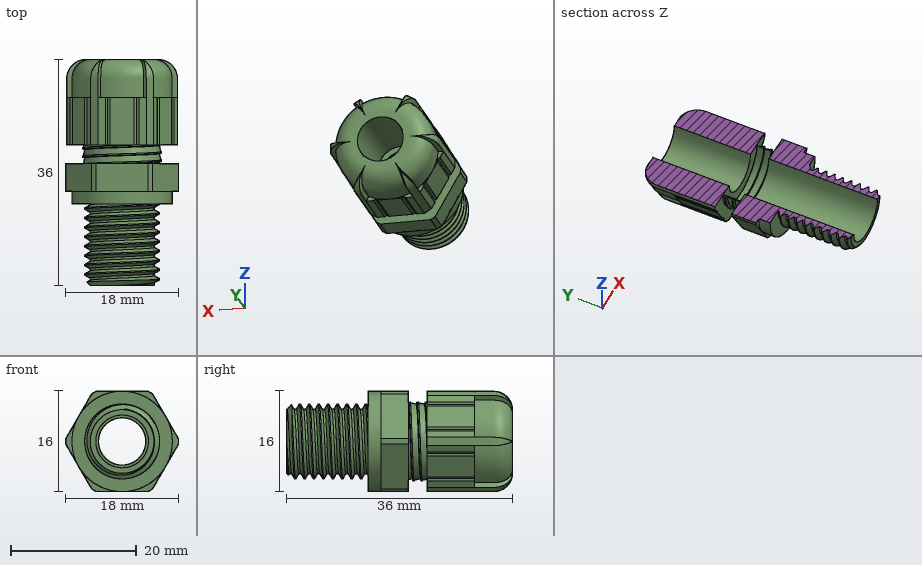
import cadquery as cq
import math


overall_length = 36.01
flange_start = 13.0
hex_start = 15.0
hex_end = 19.4
cap_start = 22.4
rib_start = 29.9

stem_major_radius = 5.97
stem_root_radius = 5.15
stem_pitch = 1.5
stem_base_width = 1.13
stem_crest_width = 0.19
stem_crest_offset = 1.0
stem_chamfer = 0.9

across_flats = 16.0
flange_radius = across_flats / 2
hex_corner_radius = 9.0

neck_root_radius = 5.97
neck_slope_radius = 6.19
neck_lip_radius = 6.3
neck_lip_width = 0.22
neck_pitch = 1.3
neck_lip_offset = 21.2
neck_root_gap = 0.1

cap_corner_distance = 8.85
cap_round = 3.0
rib_round = 3.14
rib_middle_half_width = 0.51
cap_dome_radius = across_flats / 2
grip_groove_offset = 2.3
grip_groove_width = 0.75
grip_groove_depth = 0.2

cable_bore_radius = 3.75
stem_bore_radius = 4.2

sides = 6
side_angle = 360 / sides
stem_lead_in_turns = 2
neck_lead_in_turns = 3
root_overlap = 0.15
cap_corner_length = across_flats / 2 / math.cos(math.radians(side_angle / 2))
rib_half_width = (cap_corner_length - cap_corner_distance) * math.tan(math.radians(side_angle))


def disc(radius, start, end):
    """Cylinder on the Y axis between two stations."""
    return (
        cq.Workplane("XZ", origin=(0, start, 0))
        .circle(radius)
        .extrude(start - end)
    )


def hexagon(start, end, flat_distance):
    """Hexagonal prism on the Y axis with corners on the X axis."""
    corner_diameter = flat_distance / math.cos(math.radians(side_angle / 2))
    return (
        cq.Workplane("XZ", origin=(0, start, 0))
        .polygon(sides, corner_diameter)
        .extrude(start - end)
    )


def turn(shape, angle):
    """Copy of a shape turned about the Y axis."""
    return shape.rotate((0, 0, 0), (0, 1, 0), angle)


def helical_ridge(profile, pitch, start, length):
    """Right-hand ridge along Y; profile points are (radius, axial offset)."""
    core_radius = profile[0][0]
    path = cq.Wire.makeHelix(pitch, length, core_radius)
    ridge = cq.Workplane("XZ").polyline(profile).close().sweep(path, isFrenet=True)
    return ridge.rotate((0, 0, 0), (1, 0, 0), -90).translate((0, start, 0))


def threaded_stem():
    inner_radius = stem_root_radius - root_overlap
    half_base = stem_base_width / 2
    half_crest = stem_crest_width / 2
    profile = [
        (inner_radius, -half_base),
        (stem_root_radius, -half_base),
        (stem_major_radius, -half_crest),
        (stem_major_radius, half_crest),
        (stem_root_radius, half_base),
        (inner_radius, half_base),
    ]
    start = stem_crest_offset - stem_lead_in_turns * stem_pitch
    ridge = helical_ridge(profile, stem_pitch, start, flange_start + stem_pitch / 2 - start)
    envelope = disc(stem_major_radius, 0, hex_start).faces("<Y").chamfer(stem_chamfer)
    core = disc(stem_root_radius, 0, flange_start)
    return core.union(ridge, clean=False).intersect(envelope, clean=False)


def threaded_neck():
    inner_radius = neck_root_radius - root_overlap
    half_lip = neck_lip_width / 2
    slope_end = neck_pitch - half_lip - neck_root_gap
    profile = [
        (inner_radius, -half_lip),
        (neck_lip_radius, -half_lip),
        (neck_lip_radius, half_lip),
        (neck_slope_radius, half_lip),
        (neck_root_radius, slope_end),
        (inner_radius, slope_end),
    ]
    start = neck_lip_offset - neck_lead_in_turns * neck_pitch
    ridge = helical_ridge(profile, neck_pitch, start, cap_start + neck_pitch - start)
    return disc(neck_root_radius, hex_end, cap_start).union(ridge)


def wrench_body():
    flange = disc(flange_radius, flange_start, hex_start)
    nut = hexagon(hex_start, hex_end, across_flats)
    corner_cut = disc(hex_corner_radius, hex_start, hex_end)
    return flange.union(nut.intersect(corner_cut))


def rib_pair():
    """Two opposite ribs on the X axis, rounded and tapering to a point at the closed end."""
    rounded_slab = (
        cq.Workplane("XY")
        .box(2 * cap_corner_distance, overall_length - rib_start, 2 * rib_half_width)
        .translate((0, (overall_length + rib_start) / 2, 0))
        .faces(">Y")
        .edges("|Z")
        .fillet(rib_round)
    )
    taper_start = overall_length - cap_round
    taper_middle = overall_length - cap_round / 2
    tapered_bar = (
        cq.Workplane("YZ")
        .moveTo(rib_start, -rib_half_width)
        .lineTo(taper_start, -rib_half_width)
        .threePointArc((taper_middle, -rib_middle_half_width), (overall_length, 0))
        .threePointArc((taper_middle, rib_middle_half_width), (taper_start, rib_half_width))
        .lineTo(rib_start, rib_half_width)
        .close()
        .extrude(cap_corner_distance, both=True)
    )
    return rounded_slab.intersect(tapered_bar)


def grip_grooves():
    """Pairs of shallow V grooves along the six cap flats."""
    flat = across_flats / 2
    grooves = cq.Workplane("XZ")
    for index in range(sides):
        for offset in (-grip_groove_offset, grip_groove_offset):
            groove = (
                cq.Workplane("XZ", origin=(0, cap_start, 0))
                .moveTo(offset - grip_groove_width / 2, flat)
                .lineTo(offset, flat - grip_groove_depth)
                .lineTo(offset + grip_groove_width / 2, flat)
                .close()
                .extrude(cap_start - rib_start)
            )
            grooves = grooves.add(turn(groove, index * side_angle))
    return grooves.combine()


def cap():
    corner_cut = turn(hexagon(cap_start, rib_start, 2 * cap_corner_distance), side_angle / 2)
    grip = hexagon(cap_start, rib_start, across_flats).intersect(corner_cut).cut(grip_grooves())
    dome = disc(cap_dome_radius, rib_start, overall_length).faces(">Y").edges().fillet(cap_round)
    cap_body = grip.union(dome)
    ribs = rib_pair()
    for index in range(sides // 2):
        cap_body = cap_body.union(turn(ribs, index * side_angle))
    return cap_body


def bores():
    cable_bore = disc(cable_bore_radius, 0, overall_length)
    return cable_bore.union(disc(stem_bore_radius, 0, cap_start))


result = (
    wrench_body()
    .union(cap())
    .union(threaded_neck(), clean=False)
    .union(threaded_stem(), clean=False)
    .cut(bores(), clean=False)
)